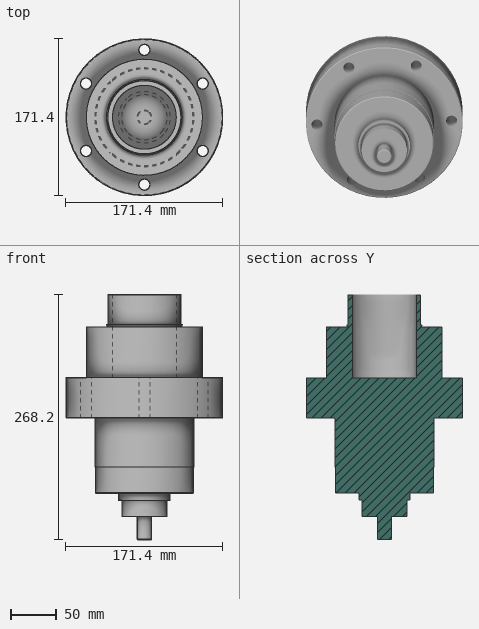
import cadquery as cq

total_height = 268.22
shaft_height = 25.4
boss_height = 17.78
step_height = 7.6
end_cap_height = 28.9
body_height = 53.4
flange_height = 44.45
housing_height = 55.5
lip_height = 2.4

shaft_diameter = 15.875
boss_diameter = 49.5
step_diameter = 56.4
end_cap_diameter = 107.6
body_diameter = 108.6
flange_diameter = 171.45
housing_diameter = 127.0
lip_top_diameter = 83.0
lip_base_diameter = 81.3
collar_diameter = 79.9

bore_diameter = 69.85

bolt_count = 6
bolt_hole_diameter = 11.9
bolt_circle_diameter = 147.32
first_bolt_angle = 90.0

edge_chamfer = 0.8

boss_bottom = shaft_height
step_bottom = boss_bottom + boss_height
end_cap_bottom = step_bottom + step_height
body_bottom = end_cap_bottom + end_cap_height
flange_bottom = body_bottom + body_height
housing_bottom = flange_bottom + flange_height
lip_bottom = housing_bottom + housing_height
collar_bottom = lip_bottom + lip_height


def cylinder(diameter, bottom, top):
    """Solid cylinder on the Z axis between two levels."""
    return cq.Workplane("XY").workplane(offset=bottom).circle(diameter / 2).extrude(top - bottom)


def chamfered_cylinder(diameter, bottom, top):
    """Cylinder on the Z axis with its lower rim chamfered."""
    return cylinder(diameter, bottom, top).faces("<Z").edges().chamfer(edge_chamfer)


def lower_body():
    """Shaft, boss, step, end cap and body below the flange."""
    shaft = chamfered_cylinder(shaft_diameter, 0, boss_bottom)
    boss = cylinder(boss_diameter, boss_bottom, step_bottom)
    step = cylinder(step_diameter, step_bottom, end_cap_bottom)
    end_cap = chamfered_cylinder(end_cap_diameter, end_cap_bottom, body_bottom)
    body = cylinder(body_diameter, body_bottom, flange_bottom)
    return shaft.union(boss).union(step).union(end_cap).union(body)


def drilled_flange():
    """Mounting flange with its ring of through bolt holes."""
    flange = chamfered_cylinder(flange_diameter, flange_bottom, housing_bottom)
    holes = (
        cq.Workplane("XY")
        .workplane(offset=flange_bottom)
        .polarArray(bolt_circle_diameter / 2, first_bolt_angle, 360, bolt_count)
        .circle(bolt_hole_diameter / 2)
        .extrude(flange_height)
    )
    return flange.cut(holes)


def flared_lip():
    """Short conical lip around the collar, widening upwards."""
    return (
        cq.Workplane("XY")
        .workplane(offset=lip_bottom)
        .circle(lip_base_diameter / 2)
        .workplane(offset=lip_height)
        .circle(lip_top_diameter / 2)
        .loft(ruled=True)
    )


def bored_housing():
    """Housing, lip and collar above the flange, bored down to the flange face."""
    housing = cylinder(housing_diameter, housing_bottom, lip_bottom)
    lip = flared_lip()
    collar = cylinder(collar_diameter, collar_bottom, total_height)
    bore = cylinder(bore_diameter, housing_bottom, total_height)
    return housing.union(lip).union(collar).cut(bore)


result = lower_body().union(drilled_flange()).union(bored_housing())